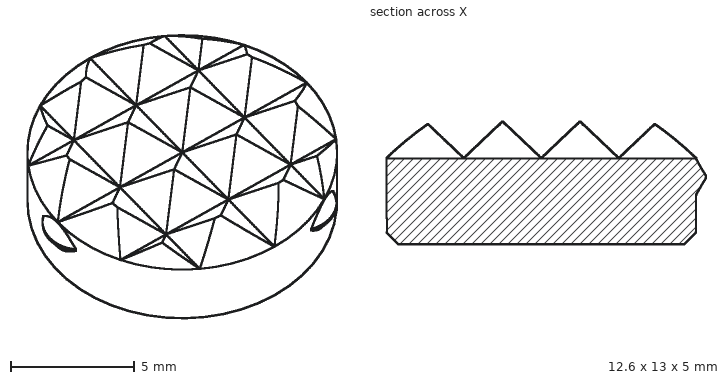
import cadquery as cq

body_diameter = 12.6
body_radius = body_diameter / 2
body_height = 3.51
bottom_chamfer = 0.48

total_height = 5.0
tooth_height = total_height - body_height
teeth_across = 4
tooth_pitch = body_diameter / teeth_across
tooth_slope = tooth_height / (tooth_pitch / 2)

bump_count = 3
first_bump_angle = -90
overall_depth = 13.0
bump_reach = overall_depth - body_radius
bump_radius = 1.5
bump_rim_thickness = 0.1
bump_half_height = 0.75
bump_mid_z = 2.74
bump_end_inset = 0.006
bump_end_radius = bump_radius - (bump_reach - body_radius) - bump_end_inset


def make_blank():
    """Cylinder with a chamfered bottom and a cone on top that bevels the outer teeth."""
    cone_height = body_radius * tooth_slope
    profile = [
        (0, 0),
        (body_radius - bottom_chamfer, 0),
        (body_radius, bottom_chamfer),
        (body_radius, body_height),
        (0, body_height + cone_height),
    ]
    return cq.Workplane("XZ").polyline(profile).close().revolve(360, (0, 0, 0), (0, 1, 0))


def make_ridges():
    """Body-high block whose top is a row of V ridges running along Y."""
    ridge_count = teeth_across + 2
    half_width = ridge_count * tooth_pitch / 2
    outline = [(-half_width, 0), (-half_width, body_height)]
    for index in range(ridge_count):
        left = -half_width + index * tooth_pitch
        outline.append((left + tooth_pitch / 2, total_height))
        outline.append((left + tooth_pitch, body_height))
    outline.append((half_width, 0))
    return cq.Workplane("XZ").polyline(outline).close().extrude(half_width, both=True)


def make_bump(angle):
    """Two cones joined at a thin rim, partly sunk into the side wall."""
    half_rim = bump_rim_thickness / 2
    profile = [
        (0, -bump_half_height),
        (bump_end_radius, -bump_half_height),
        (bump_radius, -half_rim),
        (bump_radius, half_rim),
        (bump_end_radius, bump_half_height),
        (0, bump_half_height),
    ]
    bump = cq.Workplane("XZ").polyline(profile).close().revolve(360, (0, 0, 0), (0, 1, 0))
    axis_distance = bump_reach - bump_radius
    return bump.translate((axis_distance, 0, bump_mid_z)).rotate((0, 0, 0), (0, 0, 1), angle)


ridges = make_ridges()
crossed_ridges = ridges.rotate((0, 0, 0), (0, 0, 1), 90)
result = make_blank().intersect(ridges).intersect(crossed_ridges)

for bump_index in range(bump_count):
    bump_angle = first_bump_angle + bump_index * 360 / bump_count
    result = result.union(make_bump(bump_angle))